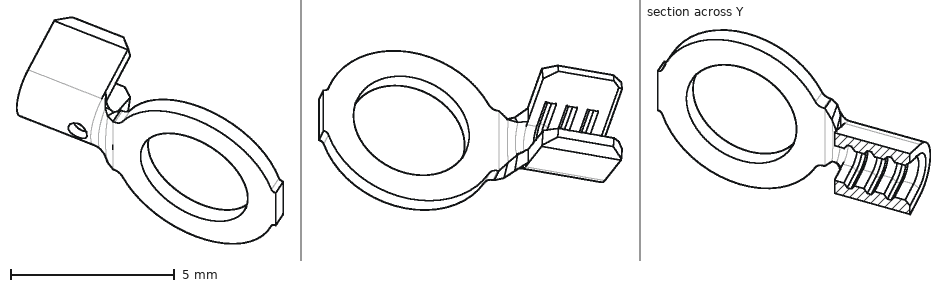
import cadquery as cq
import math

sheet = 0.51

ring_radius = 2.79
stud_hole_diameter = 3.68
tab_end_x = 2.80
tab_half_width = 0.775
tab_fillet = 0.15

neck_half_width = 1.14
neck_fillet = 0.3
neck_end_x = -2.785
neck_sections = [
    (-3.3, 0.48, 1.02, 53),
    (-3.05, 0.15, 1.11, 34),
]

total_length = 8.89
total_depth = 3.05
barrel_start_x = tab_end_x - total_length
barrel_length = 2.53
barrel_end_x = barrel_start_x + barrel_length
barrel_radius = 1.035
inner_radius = barrel_radius - sheet
leg_angle = math.radians(15)
tip_bevel_length = 0.42
tip_bevel_depth = 0.225
tip_corner = 0.38
mouth_chamfer = 0.165

groove_count = 3
groove_pitch = 0.67
first_groove_x = barrel_start_x + 0.695
groove_depth = 0.15
groove_width = 0.35
groove_floor_width = 0.13
groove_end_y = 1.83

blind_hole_diameter = 0.64
blind_hole_depth = 0.34
blind_hole_x = -4.0

leg_length = (
    total_depth - barrel_radius + inner_radius * math.sin(leg_angle)
) / math.cos(leg_angle)


def leg_point(along, offset):
    """(y, z) of a point on the upper leg, offset measured from the bend centre."""
    y = barrel_radius + along * math.cos(leg_angle) - offset * math.sin(leg_angle)
    z = along * math.sin(leg_angle) + offset * math.cos(leg_angle)
    return y, z


def mirrored(point):
    return point[0], -point[1]


def plane_at(x):
    """Section plane at x with local axes Y and Z."""
    return cq.Workplane("YZ", origin=(x, 0, 0))


def plate_extrude(sketch):
    """Extrude an XZ sketch from Y = 0 to the sheet thickness."""
    return sketch.extrude(-sheet)


def make_plate():
    disc = plate_extrude(cq.Workplane("XZ").circle(ring_radius))
    tab = plate_extrude(
        cq.Workplane("XZ").center(tab_end_x / 2, 0).rect(tab_end_x, 2 * tab_half_width)
    )
    neck = plate_extrude(
        cq.Workplane("XZ").center(neck_end_x / 2, 0).rect(-neck_end_x, 2 * neck_half_width)
    )
    plate = disc.union(tab).union(neck)

    margin = 0.05

    def root_edges(x_sign, half_width):
        root_x = x_sign * math.sqrt(ring_radius**2 - half_width**2)
        low = (root_x - margin, -margin, -half_width - margin)
        high = (root_x + margin, sheet + margin, half_width + margin)
        return cq.selectors.BoxSelector(low, high)

    plate = plate.edges("|Y").edges(root_edges(-1, neck_half_width)).fillet(neck_fillet)
    plate = plate.edges("|Y").edges(root_edges(1, tab_half_width)).fillet(tab_fillet)
    stud_hole = plate_extrude(cq.Workplane("XZ").circle(stud_hole_diameter / 2))
    return plate.cut(stud_hole)


def inner_region(x, offset):
    """Closed sketch of the space inside a U of bend radius offset, running past the leg tips."""
    bend_end = leg_point(0, offset)
    leg_end = leg_point(2 * leg_length, offset)
    return (
        plane_at(x)
        .moveTo(*leg_end)
        .lineTo(*bend_end)
        .threePointArc((barrel_radius - offset, 0), mirrored(bend_end))
        .lineTo(*mirrored(leg_end))
        .close()
    )


def make_barrel():
    outer_bend = leg_point(0, barrel_radius)
    inner_bend = leg_point(0, inner_radius)
    bevel_start = leg_point(leg_length - tip_bevel_length, barrel_radius)
    bevel_end = leg_point(leg_length, barrel_radius - tip_bevel_depth)
    inner_tip = leg_point(leg_length, inner_radius)
    barrel = (
        plane_at(barrel_start_x)
        .moveTo(*inner_tip)
        .lineTo(*bevel_end)
        .lineTo(*bevel_start)
        .lineTo(*outer_bend)
        .threePointArc((0, 0), mirrored(outer_bend))
        .lineTo(*mirrored(bevel_start))
        .lineTo(*mirrored(bevel_end))
        .lineTo(*mirrored(inner_tip))
        .lineTo(*mirrored(inner_bend))
        .threePointArc((sheet, 0), inner_bend)
        .close()
        .extrude(barrel_length)
    )
    return barrel.cut(make_corner_cutter())


def make_corner_cutter():
    """Prisms that cut the tip corners of both legs, square to the leg faces."""
    leg_normal = (0, -math.sin(leg_angle), math.cos(leg_angle))
    cutter = cq.Workplane()
    for end_x, inward in ((barrel_start_x, 1), (barrel_end_x, -1)):
        inner_tip = (end_x, *leg_point(leg_length, inner_radius))
        upper = (
            cq.Workplane(cq.Plane(inner_tip, xDir=(1, 0, 0), normal=leg_normal))
            .lineTo(inward * tip_corner, 0)
            .lineTo(0, -tip_corner)
            .close()
            .extrude(sheet)
        )
        cutter = cutter.add(upper).add(upper.mirror("XY"))
    return cutter.combine()


def make_mouth_cutter():
    return inner_region(barrel_start_x, inner_radius + mouth_chamfer).extrude(
        mouth_chamfer, taper=45
    )


def make_groove_cutter(x):
    """U-shaped groove with a flat floor and sloping flanks, centred on x."""
    offset = inner_radius + groove_depth
    flank = (groove_width - groove_floor_width) / 2
    flank_angle = math.degrees(math.atan2(groove_depth, flank))
    half_floor = groove_floor_width / 2
    floor = inner_region(x - half_floor, offset).extrude(groove_floor_width)
    front = inner_region(x + half_floor, offset).extrude(flank, taper=flank_angle)
    back = inner_region(x - half_floor, offset).extrude(-flank, taper=flank_angle)
    open_end = cq.Workplane("XY", origin=(x, groove_end_y, 0)).box(
        2 * groove_width, 2 * total_depth, 2 * total_depth, centered=(True, False, True)
    )
    return floor.union(front).union(back).cut(open_end)


def neck_section(x, outer_corner, inner_corner, curled=True):
    """Edges of the strip section at x: underside, one edge, inside, other edge."""

    def at(point):
        return cq.Vector(x, *point)

    def across(middle_y, start, end):
        if curled:
            return cq.Edge.makeThreePointArc(at(start), at((middle_y, 0)), at(end))
        return cq.Edge.makeLine(at(start), at(end))

    return [
        across(0, outer_corner, mirrored(outer_corner)),
        cq.Edge.makeLine(at(mirrored(outer_corner)), at(mirrored(inner_corner))),
        across(sheet, mirrored(inner_corner), inner_corner),
        cq.Edge.makeLine(at(inner_corner), at(outer_corner)),
    ]


def join_sections(first, second):
    """Solid with ruled faces between matching edges of two sections."""
    caps = [cq.Face.makeFromWires(cq.Wire.assembleEdges(section)) for section in (first, second)]
    sides = [cq.Face.makeRuledSurface(edge, other) for edge, other in zip(first, second)]
    return cq.Workplane(cq.Solid.makeSolid(cq.Shell.makeShell(caps + sides)))


def make_neck():
    """Strip uncurling from the half-round bend of the barrel to the flat sheet."""
    bend = neck_section(
        barrel_end_x, (barrel_radius, barrel_radius), (barrel_radius, inner_radius)
    )
    sections = [bend]
    for x, outer_y, half_width, tilt_degrees in neck_sections:
        tilt = math.radians(tilt_degrees)
        inner_corner = (
            outer_y + sheet * math.cos(tilt),
            half_width - sheet * math.sin(tilt),
        )
        sections.append(neck_section(x, (outer_y, half_width), inner_corner))
    sections.append(
        neck_section(neck_end_x, (0, neck_half_width), (sheet, neck_half_width), curled=False)
    )
    neck = cq.Workplane()
    for first, second in zip(sections, sections[1:]):
        neck = neck.add(join_sections(first, second))
    return neck.combine()


def make_blind_hole():
    return (
        cq.Workplane("XZ")
        .center(blind_hole_x, 0)
        .circle(blind_hole_diameter / 2)
        .extrude(-blind_hole_depth)
    )


barrel = make_barrel().cut(make_mouth_cutter()).cut(make_blind_hole())
for index in range(groove_count):
    barrel = barrel.cut(make_groove_cutter(first_groove_x + index * groove_pitch))

result = make_plate().union(make_neck()).union(barrel)